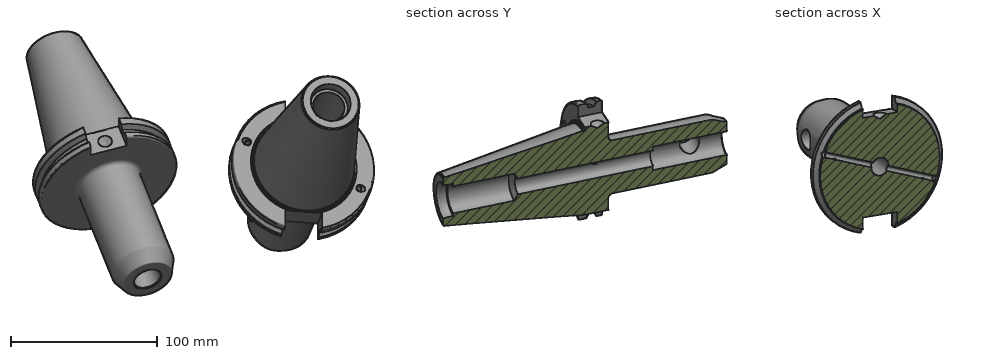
import cadquery as cq
import math

total_length = 206.5

taper_length = 101.5
taper_large_d = 69.8
taper_rate = 7 / 24
taper_small_d = taper_large_d - taper_rate * taper_length
taper_end_chamfer_length = 0.8
taper_end_chamfer_height = 0.8
neck_d = 69.2
neck_step_length = 0.6

flange_front_x = 102.9
flange_back_x = 120.5
flange_d = 98.1
flange_edge_fillet = 1.0
groove_floor_d = 91.0
groove_floor_start_x = 111.0
groove_floor_end_x = 114.2
groove_flank_angle = 30.0
relief_depth = 0.6
relief_floor_d = 71.3
relief_mouth_d = 73.5

nose_d = 44.5
nose_root_fillet = 2.9
nose_taper_x = 195.9
nose_tip_d = 35.0
nose_taper_fillet = 1.5
nose_tip_fillet = 0.8

slot_width = 25.6
top_slot_floor_z = 37.5
bottom_slot_floor_z = -35.1
dimple_d = 9.5
dimple_x = 112.4
drill_point_angle = 118.0

counterbore_d = 26.2
counterbore_depth = 7.2
counterbore_mouth_d = 27.7
counterbore_mouth_depth = 2.9
thread_d = 22.0
thread_end_x = 51.6
through_d = 12.5
tool_bore_d = 19.0
tool_bore_depth = 53.7
tool_bore_mouth_d = 20.2

clamp_hole_d = 14.3
clamp_hole_x = 182.8

coolant_turn = 20.0
face_hole_mouth_d = 5.0
face_hole_d = 4.1
face_hole_r = 42.1
face_hole_tilt = 38.0
face_hole_mouth_depth = 1.9
groove_hole_mouth_d = 4.1
groove_hole_d = 3.3
groove_hole_x = 112.5
groove_hole_mouth_depth = 2.0


def revolve_about_x(points):
    return cq.Workplane("XY").polyline(points).close().revolve(360, (0, 0, 0), (1, 0, 0))


def cylinder(diameter, start, direction, length):
    return cq.Workplane(cq.Plane(origin=start, normal=direction)).circle(diameter / 2).extrude(length)


def drill_point_length(diameter):
    return diameter / 2 / math.tan(math.radians(drill_point_angle / 2))


def taper_shank():
    neck_r = neck_d / 2
    chamfer_r = taper_small_d / 2 + taper_rate / 2 * taper_end_chamfer_length
    return revolve_about_x([
        (0, 0),
        (0, taper_small_d / 2 - taper_end_chamfer_height),
        (taper_end_chamfer_length, chamfer_r),
        (taper_length, taper_large_d / 2),
        (taper_length + neck_step_length, neck_r),
        (flange_front_x + relief_depth, neck_r),
        (flange_front_x + relief_depth, 0),
    ])


def flange():
    disc = cylinder(flange_d, (flange_front_x, 0, 0), (1, 0, 0), flange_back_x - flange_front_x)
    disc = disc.edges().fillet(flange_edge_fillet)

    rim_r = flange_d / 2
    floor_r = groove_floor_d / 2
    flank_run = (rim_r - floor_r) * math.tan(math.radians(groove_flank_angle))
    v_groove = revolve_about_x([
        (groove_floor_start_x, floor_r),
        (groove_floor_end_x, floor_r),
        (groove_floor_end_x + flank_run, rim_r),
        (groove_floor_start_x - flank_run, rim_r),
    ])

    relief_floor_x = flange_front_x + relief_depth
    relief = revolve_about_x([
        (flange_front_x, neck_d / 2),
        (relief_floor_x, neck_d / 2),
        (relief_floor_x, relief_floor_d / 2),
        (flange_front_x, relief_mouth_d / 2),
    ])
    return disc.cut(v_groove).cut(relief)


def nose():
    nose_r = nose_d / 2
    bar = revolve_about_x([
        (flange_back_x, 0),
        (flange_back_x, nose_r),
        (nose_taper_x, nose_r),
        (total_length, nose_tip_d / 2),
        (total_length, 0),
    ])
    bar = bar.faces(">X").edges().fillet(nose_tip_fillet)
    taper_edge = cq.selectors.NearestToPointSelector((nose_taper_x, 0, 0))
    bar = bar.edges("%CIRCLE").edges(taper_edge).fillet(nose_taper_fillet)

    root_end_x = flange_back_x + nose_root_fillet
    root_r = nose_r + nose_root_fillet
    bow = nose_root_fillet * (1 - math.sqrt(0.5))
    root = (
        cq.Workplane("XY")
        .moveTo(flange_back_x, 0)
        .lineTo(flange_back_x, root_r)
        .threePointArc((flange_back_x + bow, nose_r + bow), (root_end_x, nose_r))
        .lineTo(root_end_x, 0)
        .close()
        .revolve(360, (0, 0, 0), (1, 0, 0))
    )
    return bar.union(root)


def drive_slot(floor_z):
    """Slot along X through the whole flange, open outwards from floor_z."""
    outward = math.copysign(1, floor_z)
    flange_width = flange_back_x - flange_front_x
    middle_x = (flange_front_x + flange_back_x) / 2
    height = flange_d / 2
    block = cq.Workplane("XY").box(flange_width, slot_width, height)
    return block.translate((middle_x, 0, floor_z + outward * height / 2))


def drilled_dimple():
    """Conical drill point in the floor of the top slot."""
    point = drill_point_length(dimple_d)
    centre = cq.Vector(dimple_x, 0, top_slot_floor_z)
    cone = cq.Solid.makeCone(dimple_d / 2, 0, point, pnt=centre, dir=cq.Vector(0, 0, -1))
    return cq.Workplane(obj=cone)


def axial_bores():
    counterbore_r = counterbore_d / 2
    thread_r = thread_d / 2
    through_r = through_d / 2
    tool_bore_r = tool_bore_d / 2
    thread_point = drill_point_length(thread_d) - drill_point_length(through_d)
    tool_bore_x = total_length - tool_bore_depth
    mouth_r = tool_bore_mouth_d / 2
    return revolve_about_x([
        (0, 0),
        (0, counterbore_mouth_d / 2),
        (counterbore_mouth_depth, counterbore_r),
        (counterbore_depth, counterbore_r),
        (counterbore_depth, thread_r),
        (thread_end_x, thread_r),
        (thread_end_x + thread_point, through_r),
        (tool_bore_x, through_r),
        (tool_bore_x, tool_bore_r),
        (total_length - (mouth_r - tool_bore_r), tool_bore_r),
        (total_length, mouth_r),
        (total_length, 0),
    ])


def clamp_hole():
    return cylinder(clamp_hole_d, (clamp_hole_x, 0, 0), (0, 1, 0), nose_d)


def coolant_passages():
    """A radial hole from the groove to the bore, met by a tilted hole from the flange face."""
    rim_r = flange_d / 2
    mouth_floor_r = groove_floor_d / 2 - groove_hole_mouth_depth
    radial = cylinder(groove_hole_d, (groove_hole_x, 0, 0), (0, 1, 0), rim_r)
    radial_mouth = cylinder(
        groove_hole_mouth_d, (groove_hole_x, mouth_floor_r, 0), (0, 1, 0), rim_r - mouth_floor_r)

    tilt = math.radians(face_hole_tilt)
    outward = (-math.cos(tilt), math.sin(tilt), 0)
    run_to_radial = (groove_hole_x - flange_front_x) / math.cos(tilt)

    def on_axis(distance):
        """Point on the tilted axis at a distance inwards from the flange face."""
        return (flange_front_x - distance * outward[0], face_hole_r - distance * outward[1], 0)

    face_hole = cylinder(face_hole_d, on_axis(run_to_radial), outward, run_to_radial)
    face_mouth = cylinder(
        face_hole_mouth_d, on_axis(face_hole_mouth_depth), outward,
        face_hole_mouth_depth + face_hole_mouth_d)
    passages = radial.union(radial_mouth).union(face_hole).union(face_mouth)
    passages = passages.rotate((0, 0, 0), (1, 0, 0), coolant_turn)
    return passages.union(passages.rotate((0, 0, 0), (1, 0, 0), 180))


result = (
    taper_shank()
    .union(flange())
    .union(nose())
    .cut(drive_slot(top_slot_floor_z))
    .cut(drive_slot(bottom_slot_floor_z))
    .cut(drilled_dimple())
    .cut(axial_bores())
    .cut(clamp_hole())
    .cut(coolant_passages())
)